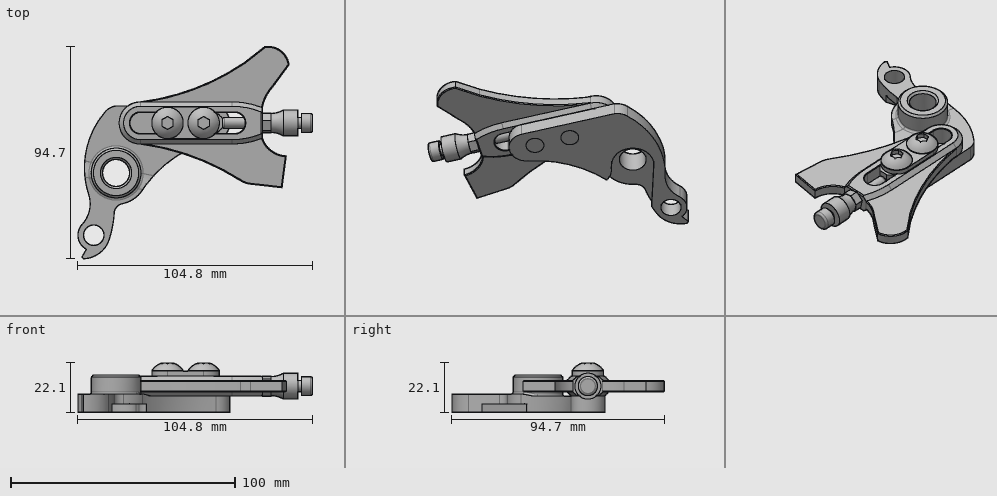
import cadquery as cq
import math


AXLE_HOLE_R = 6.0
SLOT_Y = 22.3
BOLT_XS = (22.9, 39.1)

HANGER_H = 8.2
SEAT_Z = 7.2
RAMP_ANGLE = -12.2
RAMP_BOTTOM, RAMP_TOP = 2.3, -4.7
RIM_R = 14.0
RIM_START, RIM_END = -32.5, -76.8
LUG_CENTER = (-10.0, -27.8)
LUG_R = 7.1
LUG_HOLE_R = 4.5
SEAT_END_X = 43.1
SEAT_END_R = 7.6
SEAT_END_ANGLE = -80
BOSS_R = 11.1
BOSS_TOP = 16.8
BOSS_CHAMFER = 1.0
BOSS_FILLET = 1.0
HUB_SLOT_R = 9.4
HUB_SLOT_H = 3.82
HUB_SLOT_ANGLE = -72
HUB_SLOT_STRAIGHT = 4.0
HUB_SLOT_REACH = 41.9
HUB_FLARE_R = 7.9
HUB_FLARE_TURN = 38

PLATE_BOTTOM = SEAT_Z
PLATE_T = 9.0
PLATE_TOP = PLATE_BOTTOM + PLATE_T
MID_Z = PLATE_BOTTOM + PLATE_T / 2
FLANGE_T = 5.0
FLANGE_CHAMFER = 0.4
FLANGE_INSET = 4.2
CORE_R = 9.4
CORE_X = 10.8
CORE_TAPER_X = 51.7
CORE_TAPER_R = 36.1
CORE_END_X = 65.2
CORE_END_CHAMFER = 0.5
CORE_CHAMFER = (PLATE_T - FLANGE_T) / 2
PLATE_SLOT_R = 4.7
PLATE_SLOT_CHAMFER = 0.26
PLATE_SLOT_XS = (10.9, 52.9)

CLAMP_R = 7.0
CLAMP_T = 2.2
CLAMP_TOP = PLATE_TOP + CLAMP_T
KEY_W = 2 * PLATE_SLOT_R
KEY_ROUND_X = 21.8
KEY_TIP_FLAT = 4.2
BOLT_SHANK_R = 4.0
HEAD_RIM_H = 0.3
DOME_DROP = 4.7
SOCKET_FLATS = 5.0
SOCKET_DEPTH = 2.2
BOLT_HEAD_H = 3.7

SCREW_R = 2.5
SCREW_TIP_X = 47.4
SCREW_HEAD_X = 82.6
SCREW_END_X = 87.7
SCREW_HEAD_R = 4.3
SCREW_ROUND = 1.0
NUT_FLATS = 8.01
NUT_TURN = 17.5
NUT_END_X = 69.1
BARREL_NECK_R = 4.3
BARREL_R = 5.81
BARREL_FLARE_X = 74.6
BARREL_END_X = 81.1


def polar(center, radius, degrees):
    angle = math.radians(degrees)
    return (center[0] + radius * math.cos(angle), center[1] + radius * math.sin(angle))


def tilted(length, across, degrees):
    """Point at `length` along a direction and `across` to its left, from the axle."""
    return (
        length * math.cos(math.radians(degrees)) - across * math.sin(math.radians(degrees)),
        length * math.sin(math.radians(degrees)) + across * math.cos(math.radians(degrees)),
    )


def hexagon(plane, flats, turn):
    return cq.Workplane(plane).transformed(rotate=(0, 0, turn)).polygon(6, flats / math.cos(math.pi / 6))


def hanger_outline():
    seat_end = (SEAT_END_X, SLOT_Y)
    return (
        cq.Workplane("XY")
        .moveTo(0, SLOT_Y + SEAT_END_R)
        .lineTo(SEAT_END_X, SLOT_Y + SEAT_END_R)
        .threePointArc((SEAT_END_X + SEAT_END_R, SLOT_Y), polar(seat_end, SEAT_END_R, SEAT_END_ANGLE))
        .threePointArc((26.6, 7.2), polar((0, 0), RIM_R, RIM_START))
        .threePointArc(
            polar((0, 0), RIM_R, (RIM_START + RIM_END) / 2), polar((0, 0), RIM_R, RIM_END)
        )
        .threePointArc((0.6, -14.9), (-0.7, -17.2))
        .threePointArc((-1.6, -24.0), (-3.5, -30.9))
        .threePointArc((-7.5, -35.9), (-14.5, -38.3))
        .lineTo(-15.3, -37.5)
        .lineTo(-13.3, -34.0)
        .threePointArc(polar(LUG_CENTER, LUG_R, 180), polar(LUG_CENTER, LUG_R, 139))
        .threePointArc((-11.7, -15.6), (-12.4, -9.3))
        .threePointArc((-13.4, 9.8), (-5.0, 27.1))
        .threePointArc((-2.8, 29.0), (0, SLOT_Y + SEAT_END_R))
        .close()
    )


def seat_cut():
    """Material above the ramp and the plate's seat."""
    reach = 83.8
    block = (
        cq.Workplane("YZ")
        .moveTo(RAMP_TOP, HANGER_H)
        .spline([(RAMP_BOTTOM, SEAT_Z)], tangents=[(1, 0), (1, 0)], includeCurrent=True)
        .lineTo(reach, SEAT_Z)
        .lineTo(reach, HANGER_H)
        .close()
        .extrude(reach, both=True)
    )
    return block.rotate((0, 0, 0), (0, 0, 1), RAMP_ANGLE)


def hub_slot():
    def at(length, across):
        return tilted(length, across, HUB_SLOT_ANGLE)

    def flare(turn):
        angle = math.radians(turn)
        return at(
            HUB_SLOT_STRAIGHT + HUB_FLARE_R * math.sin(angle),
            HUB_SLOT_R + HUB_FLARE_R * (1 - math.cos(angle)),
        )

    return (
        cq.Workplane("XY")
        .moveTo(*at(HUB_SLOT_REACH, -HUB_SLOT_R))
        .lineTo(*at(0, -HUB_SLOT_R))
        .threePointArc(at(-HUB_SLOT_R, 0), at(0, HUB_SLOT_R))
        .lineTo(*at(HUB_SLOT_STRAIGHT, HUB_SLOT_R))
        .threePointArc(flare(HUB_FLARE_TURN / 2), flare(HUB_FLARE_TURN))
        .lineTo(*at(HUB_SLOT_REACH, HUB_SLOT_REACH))
        .close()
        .extrude(HUB_SLOT_H)
    )


def make_hanger():
    body = hanger_outline().extrude(HANGER_H).cut(seat_cut())
    boss = cq.Workplane("XY").workplane(offset=HUB_SLOT_H).circle(BOSS_R).extrude(BOSS_TOP - HUB_SLOT_H)
    body = body.union(boss)
    foot = cq.selectors.BoxSelector(
        (-BOSS_R - 0.5, -BOSS_R - 0.5, SEAT_Z - 0.1), (BOSS_R + 0.5, BOSS_R + 0.5, HANGER_H + 0.1), True
    )
    body = body.edges(foot).fillet(BOSS_FILLET)
    body = body.faces(">Z").edges().chamfer(BOSS_CHAMFER)
    body = body.cut(hub_slot())
    body = body.cut(cq.Workplane("XY").circle(AXLE_HOLE_R).extrude(BOSS_TOP))
    body = body.faces(">Z").edges("%CIRCLE").edges(cq.selectors.RadiusNthSelector(0)).chamfer(BOSS_CHAMFER)
    body = body.cut(cq.Workplane("XY").center(*LUG_CENTER).circle(LUG_HOLE_R).extrude(HANGER_H))
    return body.cut(bolt_holes(0, HANGER_H))


def bolt_holes(bottom, height):
    centers = [(x, SLOT_Y) for x in BOLT_XS]
    return cq.Workplane("XY").workplane(offset=bottom).pushPoints(centers).circle(BOLT_SHANK_R).extrude(height)


def make_flange():
    """Thin plate with a long upper arm and a short lower arm."""
    core_top = SLOT_Y + CORE_R
    core_bottom = SLOT_Y - CORE_R
    outline = (
        cq.Workplane("XY")
        .workplane(offset=MID_Z - FLANGE_T / 2)
        .moveTo(CORE_X, core_bottom)
        .threePointArc((35.0, 6.8), (55.5, -3.5))
        .threePointArc((57.6, -4.5), (59.9, -5.0))
        .lineTo(74.0, -6.6)
        .lineTo(75.9, 7.6)
        .threePointArc((69.6, 9.7), (CORE_END_X, 15.6))
        .lineTo(CORE_END_X - FLANGE_INSET, SLOT_Y)
        .lineTo(CORE_END_X, 28.9)
        .threePointArc((66.6, 33.4), (70.0, 38.4))
        .lineTo(77.2, 48.3)
        .threePointArc((72.9, 55.0), (66.3, 56.3))
        .lineTo(57.2, 49.2)
        .threePointArc((35.0, 37.7), (CORE_X, core_top))
        .close()
    )
    return outline.extrude(FLANGE_T).faces("<Z or >Z").edges().chamfer(FLANGE_CHAMFER)


def make_core():
    """Thick middle of the plate, bevelled down to the flange all round."""
    overrun = 8.4
    end_x = CORE_END_X + overrun

    def taper_y(x):
        return CORE_R - CORE_TAPER_R + math.sqrt(CORE_TAPER_R**2 - (x - CORE_TAPER_X) ** 2)

    mid_x = (CORE_TAPER_X + end_x) / 2
    core = (
        cq.Workplane("XY")
        .workplane(offset=PLATE_BOTTOM)
        .moveTo(CORE_X, SLOT_Y + CORE_R)
        .lineTo(CORE_TAPER_X, SLOT_Y + CORE_R)
        .threePointArc((mid_x, SLOT_Y + taper_y(mid_x)), (end_x, SLOT_Y + taper_y(end_x)))
        .lineTo(end_x, SLOT_Y - taper_y(end_x))
        .threePointArc((mid_x, SLOT_Y - taper_y(mid_x)), (CORE_TAPER_X, SLOT_Y - CORE_R))
        .lineTo(CORE_X, SLOT_Y - CORE_R)
        .threePointArc((CORE_X - CORE_R, SLOT_Y), (CORE_X, SLOT_Y + CORE_R))
        .close()
        .extrude(PLATE_T)
        .faces("<Z or >Z")
        .edges()
        .chamfer(CORE_CHAMFER)
    )
    trim = cq.Workplane("XY").box(2 * overrun, 4 * CORE_R, 2 * PLATE_T)
    core = core.cut(trim.translate((CORE_END_X + overrun, SLOT_Y, MID_Z)))
    return core.faces(">X").edges("<Z or >Z").chamfer(CORE_END_CHAMFER)


def plate_slot():
    """Long slot with a small chamfer at its top and bottom edges."""
    center_x = sum(PLATE_SLOT_XS) / 2
    length = PLATE_SLOT_XS[1] - PLATE_SLOT_XS[0]

    def stadium(radius):
        return cq.Workplane("XY").slot2D(length + 2 * radius, 2 * radius)

    flare = stadium(PLATE_SLOT_R + PLATE_SLOT_CHAMFER).extrude(PLATE_SLOT_CHAMFER, taper=45)
    slot = stadium(PLATE_SLOT_R).extrude(PLATE_T).union(flare)
    slot = slot.union(flare.mirror("XY").translate((0, 0, PLATE_T)))
    return slot.translate((center_x, SLOT_Y, PLATE_BOTTOM))


def make_plate():
    return make_core().union(make_flange()).cut(plate_slot()).cut(screw_rod())


def make_clamp():
    """Washer shared by both bolts, with a key that slides in the plate's slot."""
    span = BOLT_XS[1] - BOLT_XS[0]
    washer = (
        cq.Workplane("XY")
        .workplane(offset=PLATE_TOP)
        .center(sum(BOLT_XS) / 2, SLOT_Y)
        .slot2D(span + 2 * CLAMP_R, 2 * CLAMP_R)
        .extrude(CLAMP_T)
    )
    bevel = (KEY_W - KEY_TIP_FLAT) / 2
    key = (
        cq.Workplane("XY")
        .workplane(offset=SEAT_Z)
        .moveTo(KEY_ROUND_X, SLOT_Y + KEY_W / 2)
        .lineTo(SCREW_TIP_X - bevel, SLOT_Y + KEY_W / 2)
        .lineTo(SCREW_TIP_X, SLOT_Y + KEY_TIP_FLAT / 2)
        .lineTo(SCREW_TIP_X, SLOT_Y - KEY_TIP_FLAT / 2)
        .lineTo(SCREW_TIP_X - bevel, SLOT_Y - KEY_W / 2)
        .lineTo(KEY_ROUND_X, SLOT_Y - KEY_W / 2)
        .threePointArc((KEY_ROUND_X - KEY_W / 2, SLOT_Y), (KEY_ROUND_X, SLOT_Y + KEY_W / 2))
        .close()
        .extrude(PLATE_TOP - SEAT_Z)
    )
    return washer.union(key).cut(bolt_holes(SEAT_Z, CLAMP_TOP - SEAT_Z))


def make_bolt(x):
    dome_r = math.hypot(CLAMP_R, DOME_DROP)
    rim_z = CLAMP_TOP + HEAD_RIM_H
    head = (
        cq.Workplane("XZ")
        .moveTo(0, CLAMP_TOP)
        .lineTo(CLAMP_R, CLAMP_TOP)
        .lineTo(CLAMP_R, rim_z)
        .threePointArc(polar((0, rim_z - DOME_DROP), dome_r, 60), (0, rim_z - DOME_DROP + dome_r))
        .close()
        .revolve(360, (0, 0, 0), (0, 1, 0))
    )
    shank = cq.Workplane("XY").circle(BOLT_SHANK_R).extrude(CLAMP_TOP)
    socket = hexagon("XY", SOCKET_FLATS, 30).extrude(BOLT_HEAD_H)
    socket = socket.translate((0, 0, CLAMP_TOP + BOLT_HEAD_H - SOCKET_DEPTH))
    return head.union(shank).cut(socket).translate((x, SLOT_Y, 0))


def along_screw(profile):
    """Turn a profile of (x, radius) about the screw's axis."""
    return profile.close().revolve(360, (0, 0, 0), (1, 0, 0)).translate((0, SLOT_Y, MID_Z))


def screw_rod():
    rod = cq.Workplane("YZ").workplane(offset=SCREW_TIP_X).circle(SCREW_R).extrude(SCREW_HEAD_X - SCREW_TIP_X)
    return rod.faces("<X").edges().fillet(SCREW_ROUND).translate((0, SLOT_Y, MID_Z))


def make_screw():
    head = cq.Workplane("YZ").workplane(offset=SCREW_HEAD_X).circle(SCREW_HEAD_R)
    head = head.extrude(SCREW_END_X - SCREW_HEAD_X).faces(">X").edges().fillet(SCREW_ROUND)
    return screw_rod().union(head.translate((0, SLOT_Y, MID_Z)))


def make_nut():
    nut = hexagon("YZ", NUT_FLATS, NUT_TURN).extrude(NUT_END_X - CORE_END_X)
    return nut.translate((CORE_END_X, SLOT_Y, MID_Z)).cut(screw_rod())


def make_barrel():
    flare_length = BARREL_FLARE_X - NUT_END_X
    flare_height = BARREL_R - BARREL_NECK_R
    flare_r = (flare_length**2 + flare_height**2) / (2 * flare_height)
    half_x = flare_length / 2
    half_y = flare_r - math.sqrt(flare_r**2 - half_x**2)
    profile = (
        cq.Workplane("XY")
        .moveTo(NUT_END_X, 0)
        .lineTo(NUT_END_X, BARREL_NECK_R)
        .threePointArc((NUT_END_X + half_x, BARREL_NECK_R + half_y), (BARREL_FLARE_X, BARREL_R))
        .lineTo(BARREL_END_X, BARREL_R)
        .lineTo(BARREL_END_X, 0)
    )
    return along_screw(profile).cut(screw_rod())


hanger = make_hanger()
plate = make_plate()
clamp = make_clamp()
bolts = [make_bolt(x) for x in BOLT_XS]
screw = make_screw()
nut = make_nut()
barrel = make_barrel()

result = cq.Compound.makeCompound(
    [
        hanger.val(),
        plate.val(),
        clamp.val(),
        *[bolt.val() for bolt in bolts],
        screw.val(),
        nut.val(),
        barrel.val(),
    ]
)